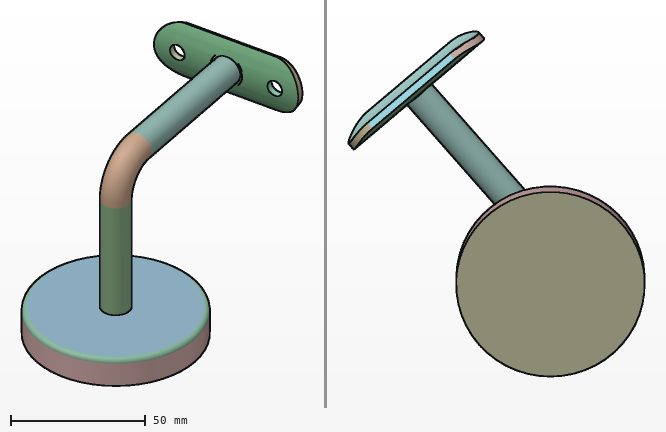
import cadquery as cq
import math

overall_depth = 115.5
overall_height = 87.0

base_diameter = 70.0
base_height = 12.0
base_fillet = 2.0

rod_diameter = 12.0
bend_radius = 15.0

saddle_length = 64.0
saddle_height = 23.9
saddle_outer_radius = 24.0
saddle_thickness = 3.0
screw_hole_diameter = 6.5
screw_hole_spacing = 43.2
seat_diameter = 14.0
seat_depth = 0.5

saddle_z = overall_height - saddle_height / 2
saddle_inner_radius = saddle_outer_radius - saddle_thickness
edge_angle = math.asin(saddle_height / 2 / saddle_outer_radius)
saddle_back_y = overall_depth - base_diameter / 2
handrail_axis_y = saddle_back_y + saddle_inner_radius * math.cos(edge_angle)
saddle_front_y = handrail_axis_y - saddle_outer_radius
seat_y = saddle_front_y + seat_depth


def make_base():
    """Disc with a rounded top rim."""
    disc = cq.Workplane("XY").circle(base_diameter / 2).extrude(base_height)
    return disc.faces(">Z").edges().fillet(base_fillet)


def make_rod():
    """Round rod that rises from the base and bends towards +Y to meet the saddle seat."""
    bend_center_y = bend_radius
    bend_center_z = saddle_z - bend_radius
    bend_middle = (
        bend_center_y - bend_radius * math.cos(math.pi / 4),
        bend_center_z + bend_radius * math.sin(math.pi / 4),
    )
    path = (
        cq.Workplane("YZ")
        .moveTo(0, base_height)
        .lineTo(0, bend_center_z)
        .threePointArc(bend_middle, (bend_center_y, saddle_z))
        .lineTo(seat_y, saddle_z)
    )
    profile = cq.Workplane("XY", origin=(0, 0, base_height)).circle(rod_diameter / 2)
    return profile.sweep(path)


def front_plane(y):
    """Workplane facing +Y, level with the saddle centre, with local x along -X."""
    return cq.Workplane("XZ", origin=(0, y, saddle_z)).transformed(rotate=(0, 180, 0))


def make_saddle_blank():
    """Round-ended piece of a cylinder wall, with edges square to the wall."""
    cylinder = (
        cq.Workplane("YZ", origin=(-saddle_length / 2, handrail_axis_y, saddle_z))
        .circle(saddle_outer_radius)
        .extrude(saddle_length)
    )
    outline = (
        front_plane(saddle_front_y)
        .slot2D(saddle_length, saddle_height)
        .extrude(saddle_outer_radius)
    )
    outer_face = cylinder.intersect(outline).faces("%CYLINDER").faces("<Y").val()
    return cq.Workplane(outer_face.thicken(-saddle_thickness))


def make_saddle():
    """Curved plate with two screw holes and a shallow flat seat for the rod end."""
    screw_holes = (
        front_plane(saddle_front_y)
        .pushPoints([(-screw_hole_spacing / 2, 0), (screw_hole_spacing / 2, 0)])
        .circle(screw_hole_diameter / 2)
        .extrude(saddle_outer_radius)
    )
    seat = front_plane(saddle_front_y).circle(seat_diameter / 2).extrude(seat_depth)
    return make_saddle_blank().cut(screw_holes).cut(seat)


base = make_base()
rod = make_rod()
saddle = make_saddle()

result = cq.Compound.makeCompound([base.solids().val(), rod.val(), saddle.solids().val()])